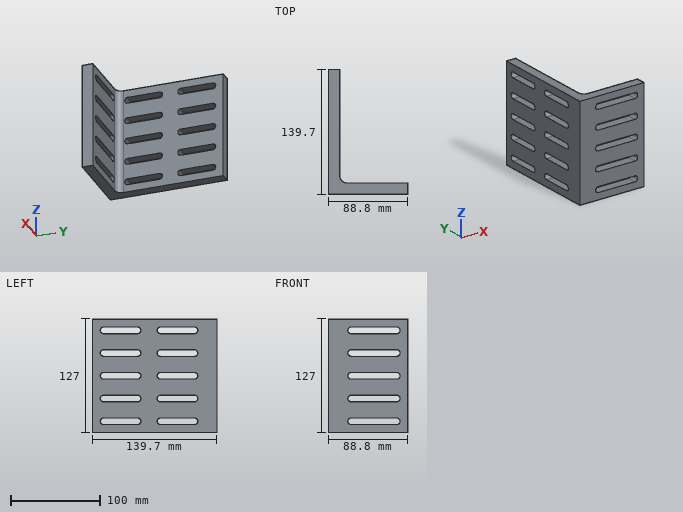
import cadquery as cq

short_leg = 88.8
long_leg = 139.7
height = 127.0
thickness = 12.7
inner_radius = 8.0

slot_width = 7.1
row_count = 5
row_pitch = 25.4
short_leg_slot_length = 58.1
short_leg_slot_x = 50.9
long_leg_slot_length = 45.1
long_leg_slot_y = 44.4
long_leg_column_pitch = 63.5

row_heights = [
    height / 2 + (row - (row_count - 1) / 2) * row_pitch
    for row in range(row_count)
]


def make_angle():
    """L-shaped profile extruded upward, with a rounded inside corner."""
    profile = (
        cq.Workplane("XY")
        .moveTo(0, 0)
        .lineTo(short_leg, 0)
        .lineTo(short_leg, thickness)
        .lineTo(thickness + inner_radius, thickness)
        .radiusArc((thickness, thickness + inner_radius), inner_radius)
        .lineTo(thickness, long_leg)
        .lineTo(0, long_leg)
        .close()
    )
    return profile.extrude(height)


def short_leg_slots():
    """Horizontal slots through the short leg, one per row."""
    centers = [(short_leg_slot_x, z) for z in row_heights]
    return (
        cq.Workplane("XZ")
        .pushPoints(centers)
        .slot2D(short_leg_slot_length, slot_width)
        .extrude(-thickness)
    )


def long_leg_slots():
    """Horizontal slots through the long leg, in two columns."""
    columns = (long_leg_slot_y, long_leg_slot_y + long_leg_column_pitch)
    centers = [(y, z) for y in columns for z in row_heights]
    return (
        cq.Workplane("YZ")
        .pushPoints(centers)
        .slot2D(long_leg_slot_length, slot_width)
        .extrude(thickness)
    )


result = make_angle().cut(short_leg_slots()).cut(long_leg_slots())